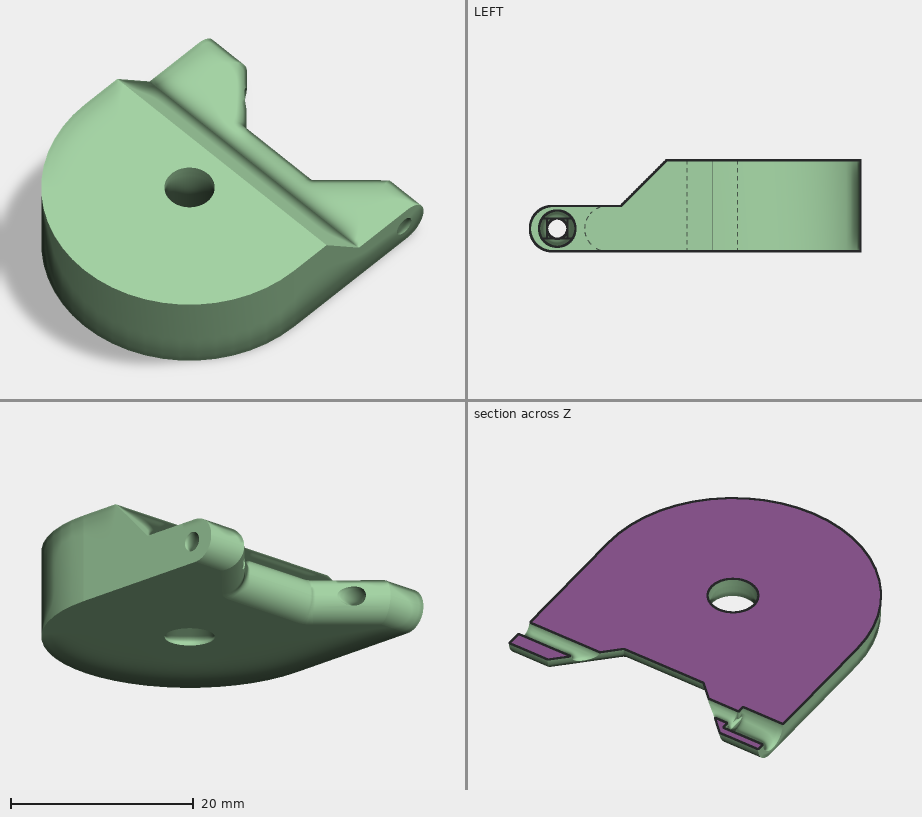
import cadquery as cq

width = 32.5
length = 36.25
height = 10.0
nose_radius = width / 2
back_y = length - nose_radius
pivot_diameter = 5.5

arm_thickness = height / 2
slope_start_y = 5.0
slope_end_y = slope_start_y + height - arm_thickness

notch_depth = 6.0
notch_floor_half = 5.2
notch_mouth_half = notch_floor_half + notch_depth
notch_corner_radius = 0.05
notch_floor_y = back_y - notch_depth
rounding_gap = 0.005
edge_rounding = arm_thickness / 2 - rounding_gap

cross_y = back_y - 3.0
cross_z = arm_thickness / 2
cross_diameter = 2.2
counterbore_diameter = 4.0
counterbore_depth = 5.0
step_thickness = 0.2


def make_plan():
    """Rounded nose at the front and a notched edge at the back."""
    return (
        cq.Workplane("XY")
        .moveTo(-nose_radius, 0)
        .threePointArc((0, -nose_radius), (nose_radius, 0))
        .lineTo(nose_radius, back_y)
        .lineTo(notch_mouth_half, back_y)
        .lineTo(notch_floor_half, notch_floor_y)
        .lineTo(-notch_floor_half, notch_floor_y)
        .lineTo(-notch_mouth_half, back_y)
        .lineTo(-nose_radius, back_y)
        .close()
    )


def make_side_profile():
    """Full height at the front, sloping down to the thin arms."""
    return (
        cq.Workplane("YZ")
        .polyline([
            (-nose_radius, 0),
            (back_y, 0),
            (back_y, arm_thickness),
            (slope_end_y, arm_thickness),
            (slope_start_y, height),
            (-nose_radius, height),
        ])
        .close()
        .extrude(nose_radius, both=True)
    )


def blend_notch_corners(body):
    """Blend the upright edges where the notch floor meets its sides."""
    half_box = notch_depth / 2
    notch_floor = cq.selectors.BoxSelector(
        (-notch_mouth_half, notch_floor_y - half_box, 0),
        (notch_mouth_half, notch_floor_y + half_box, arm_thickness),
    )
    return body.edges("|Z").edges(notch_floor).fillet(notch_corner_radius)


def round_back_edges(body):
    """Round the top and bottom of the whole notched back edge."""
    search_margin = 0.35
    back_zone = cq.selectors.BoxSelector(
        (-width, notch_floor_y - search_margin, -search_margin),
        (width, back_y + search_margin, arm_thickness + search_margin),
    )
    outer_sides = cq.selectors.ParallelDirSelector(cq.Vector(0, 1, 0))
    upright = cq.selectors.ParallelDirSelector(cq.Vector(0, 0, 1))
    return body.edges(back_zone - outer_sides - upright).fillet(edge_rounding)


def cross_plane(x):
    """Plane facing +X, centred on the cross hole axis."""
    return cq.Workplane("YZ", origin=(x, cross_y, cross_z))


def make_cross_hole():
    """Counterbore, flat-sided step and square step on -X, then a round hole through +X."""
    arm_face_x = -nose_radius
    step_x = arm_face_x + counterbore_depth
    square_x = step_x + step_thickness
    counterbore = cross_plane(arm_face_x).circle(counterbore_diameter / 2).extrude(counterbore_depth)
    step = (
        cross_plane(step_x)
        .circle(counterbore_diameter / 2)
        .extrude(step_thickness)
        .intersect(cross_plane(step_x).rect(counterbore_diameter, cross_diameter).extrude(step_thickness))
    )
    square = cross_plane(square_x).rect(cross_diameter, cross_diameter).extrude(step_thickness)
    round_hole = cross_plane(arm_face_x).circle(cross_diameter / 2).extrude(width)
    return counterbore.union(step).union(square).union(round_hole)


body = make_plan().extrude(height).intersect(make_side_profile())
body = blend_notch_corners(body)
body = round_back_edges(body)
pivot_hole = cq.Workplane("XY").circle(pivot_diameter / 2).extrude(height)
result = body.cut(pivot_hole).cut(make_cross_hole())